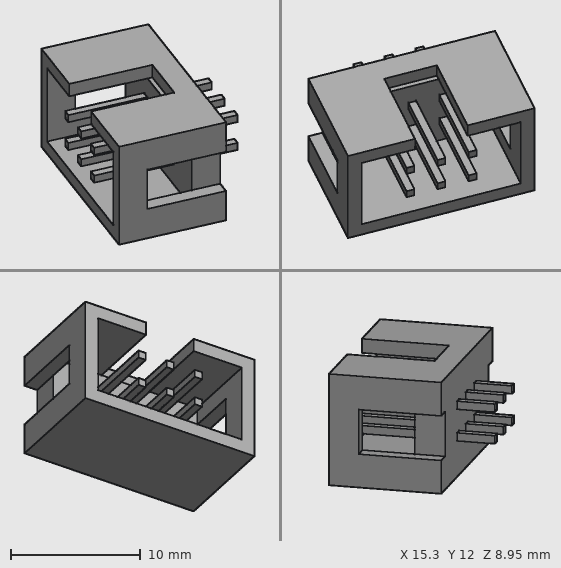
import cadquery as cq

housing_width = 15.28
housing_depth = 8.95
housing_height = 8.95
wall = 1.14
floor_thickness = 2.4

notch_width = 4.3
notch_to_back = 2.0

slot_height = 3.58
slot_length = 6.58

pin_columns = 3
pin_rows = 2
pin_pitch = 2.54
pin_size = 0.65
pin_length = 12.0
pin_tail = 3.0

pin_back = housing_depth + pin_tail
pin_front = pin_back - pin_length


def block(x_range, y_range, z_range):
    """Axis-aligned box spanning the given (low, high) ranges."""
    lows, highs = zip(x_range, y_range, z_range)
    sizes = [high - low for low, high in zip(lows, highs)]
    return cq.Workplane("XY").box(*sizes, centered=False).translate(lows)


def centred(size, middle=0.0):
    """Range of the given size about its middle."""
    return (middle - size / 2, middle + size / 2)


def make_shell():
    """Box with a cavity that leaves the floor at the back."""
    body = block(centred(housing_width), (0, housing_depth), centred(housing_height))
    cavity = block(
        centred(housing_width - 2 * wall),
        (0, housing_depth - floor_thickness),
        centred(housing_height - 2 * wall),
    )
    return body.cut(cavity)


def make_notch():
    """Cutter through the top wall that reaches past the front face of the floor."""
    top = housing_height / 2
    return block(centred(notch_width), (0, housing_depth - notch_to_back), (top - wall, top))


def make_latch_slot(side):
    """Cutter one wall deep in the side wall on the given side (-1 or 1)."""
    wall_middle = side * (housing_width - wall) / 2
    return block(
        centred(wall, wall_middle),
        (housing_depth - slot_length, housing_depth),
        centred(slot_height),
    )


def make_pin(column, row):
    """Straight square pin at its place in the grid."""
    x = (column - (pin_columns - 1) / 2) * pin_pitch
    z = (row - (pin_rows - 1) / 2) * pin_pitch
    return block(centred(pin_size, x), (pin_front, pin_back), centred(pin_size, z))


pins = [make_pin(column, row) for row in range(pin_rows) for column in range(pin_columns)]

housing = make_shell().cut(make_notch())
for side in (-1, 1):
    housing = housing.cut(make_latch_slot(side))

for pin in pins:
    housing = housing.cut(pin)

result = cq.Compound.makeCompound([housing.solids().val(), *[pin.val() for pin in pins]])